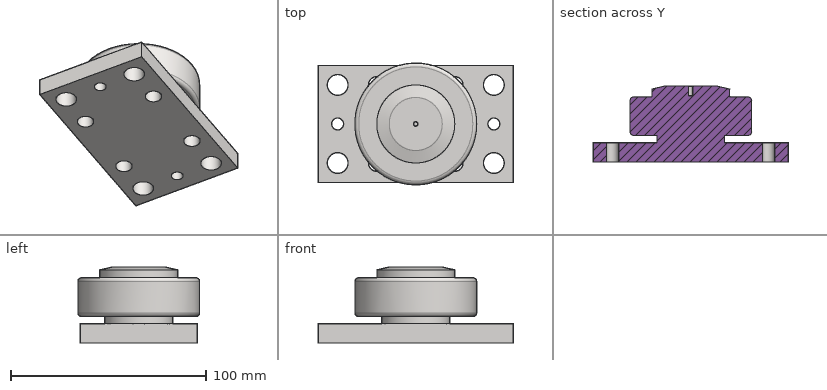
import cadquery as cq

plate_length = 100.0
plate_width = 60.0
plate_thickness = 10.0

corner_hole_diameter = 10.5
dowel_hole_diameter = 6.0
inner_hole_diameter = 8.4
outer_hole_x = 40.0
hole_y = 20.0
inner_hole_x = 20.0

stem_diameter = 35.0
stem_height = 3.5
roller_diameter = 62.5
roller_height = 20.0
roller_edge_radius = 2.0

cap_diameter = 40.0
cap_top_diameter = 27.2
cap_height = 5.5
cap_rim_height = 4.0
center_hole_diameter = 2.0
center_hole_depth = 5.0
center_hole_chamfer = 0.2

roller_bottom = plate_thickness + stem_height
roller_top = roller_bottom + roller_height
part_height = roller_top + cap_height


def drill_plate(plate, diameter, points):
    """Drill plain holes through the full plate thickness."""
    return plate.faces(">Z").workplane(origin=(0, 0, plate_thickness)).pushPoints(points).hole(diameter)


def mirrored_points(x, y):
    """Four points placed symmetrically about both plate axes."""
    return [(sx * x, sy * y) for sx in (-1, 1) for sy in (-1, 1)]


def make_plate():
    plate = cq.Workplane("XY").box(
        plate_length, plate_width, plate_thickness, centered=(True, True, False)
    )
    plate = drill_plate(plate, corner_hole_diameter, mirrored_points(outer_hole_x, hole_y))
    plate = drill_plate(plate, inner_hole_diameter, mirrored_points(inner_hole_x, hole_y))
    return drill_plate(plate, dowel_hole_diameter, [(-outer_hole_x, 0), (outer_hole_x, 0)])


def make_stem():
    return cq.Workplane("XY", origin=(0, 0, plate_thickness)).circle(stem_diameter / 2).extrude(stem_height)


def make_roller():
    roller = cq.Workplane("XY", origin=(0, 0, roller_bottom)).circle(roller_diameter / 2).extrude(roller_height)
    return roller.faces("<Z or >Z").edges().fillet(roller_edge_radius)


def make_cap():
    """Revolve the half profile of the cap about the Z axis."""
    rim_top = roller_top + cap_rim_height
    return (
        cq.Workplane("XZ")
        .moveTo(0, roller_top)
        .lineTo(cap_diameter / 2, roller_top)
        .lineTo(cap_diameter / 2, rim_top)
        .lineTo(cap_top_diameter / 2, part_height)
        .lineTo(0, part_height)
        .close()
        .revolve(360, (0, 0, 0), (0, 1, 0))
    )


def drill_center_hole(body):
    """Drill the blind hole in the cap and chamfer its mouth."""
    top = body.faces(">Z").workplane(origin=(0, 0, part_height))
    drilled = top.hole(center_hole_diameter, center_hole_depth)
    mouth_selector = cq.selectors.RadiusNthSelector(0)
    return drilled.faces(">Z").edges(mouth_selector).chamfer(center_hole_chamfer)


body = make_plate().union(make_stem()).union(make_roller()).union(make_cap())
result = drill_center_hole(body)